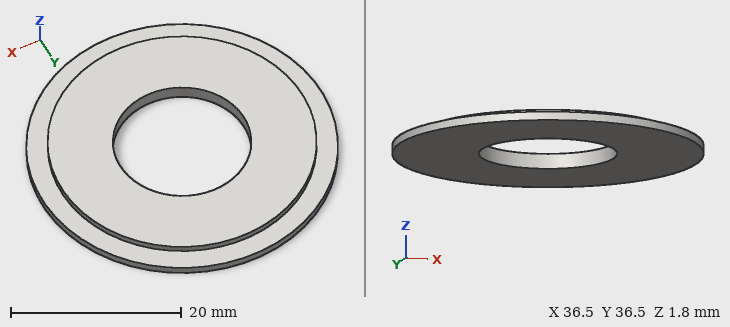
import cadquery as cq

flange_diameter = 36.5
step_diameter = 31.5
bore_diameter = 16.2
total_height = 1.8
flange_thickness = 1.0
step_height = total_height - flange_thickness

flange = cq.Workplane("XY").circle(flange_diameter / 2).extrude(flange_thickness)

stepped_disc = flange.faces(">Z").workplane().circle(step_diameter / 2).extrude(step_height)

result = stepped_disc.faces(">Z").workplane().hole(bore_diameter)